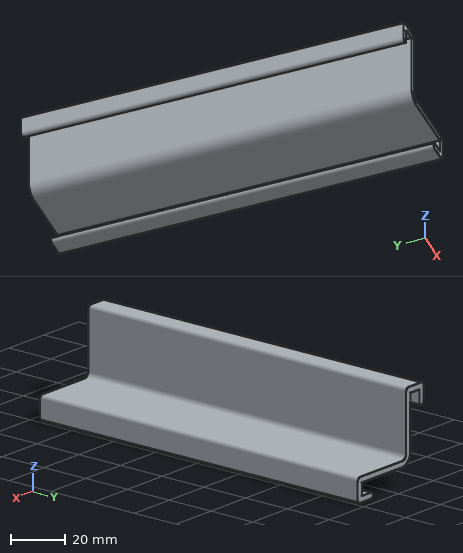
import cadquery as cq

size = 37.97
length = 152.4

thickness = 2.54
hook_width = 10.16
hook_depth = 8.89
hook_corner_radius = 1.5875
tip_radius = thickness / 2
bend_outer_radius = 4.7625
bend_inner_radius = bend_outer_radius - thickness

web_near = hook_width - thickness
hook_end_start = size - thickness
tip_centre = size - hook_depth + tip_radius


def bar(x_min, z_min, x_max, z_max):
    """Full-length bar with the given corners in the XZ section, centred on Y."""
    block = cq.Workplane("XY").box(x_max - x_min, length, z_max - z_min, centered=(False, True, False))
    return block.translate((x_min, 0, z_min))


def bar_pair(x_min, z_min, x_max, z_max):
    """A bar together with its mirror image about the X = Z diagonal."""
    return bar(x_min, z_min, x_max, z_max).union(bar(z_min, x_min, z_max, x_max))


def rod(x, z, radius):
    """Full-length round rod centred at (x, z) in the XZ section."""
    return cq.Workplane("XZ").center(x, z).circle(radius).extrude(length / 2, both=True)


def round_edge(body, x, z, radius):
    """Round the lengthwise edge that passes through (x, z)."""
    return body.edges(cq.NearestToPointSelector((x, 0, z))).fillet(radius)


def round_edge_pair(body, x, z, radius):
    """Round a lengthwise edge and its mirror image about the X = Z diagonal."""
    return round_edge(round_edge(body, x, z, radius), z, x, radius)


webs = bar_pair(web_near, web_near, hook_width, size)
hook_ends = bar_pair(0, hook_end_start, hook_width, size)
lips = bar_pair(0, tip_centre, thickness, size)
tips = rod(tip_radius, tip_centre, tip_radius).union(rod(tip_centre, tip_radius, tip_radius))
profile = webs.union(hook_ends).union(lips).union(tips).clean()

profile = round_edge(profile, web_near, web_near, bend_outer_radius)
profile = round_edge(profile, hook_width, hook_width, bend_inner_radius)

for corner_x in (0, hook_width):
    profile = round_edge_pair(profile, corner_x, size, hook_corner_radius)

result = profile.translate((-size / 2, 0, -size / 2))